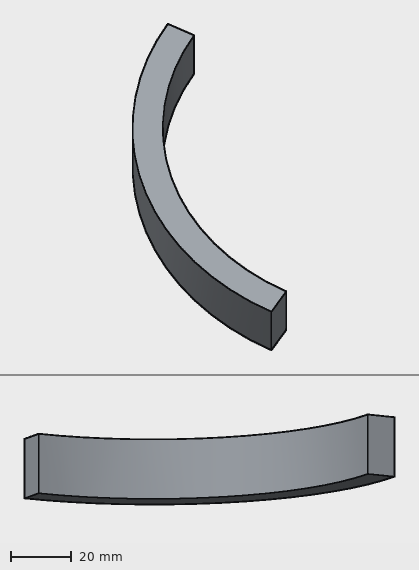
import cadquery as cq

outer_radius = 90.0
height = 20.0
wall_thickness = height / 2
inner_radius = outer_radius - wall_thickness
sweep_angle = 90.0

wall_section = (
    cq.Workplane("XZ")
    .moveTo(-outer_radius, 0)
    .lineTo(-inner_radius, 0)
    .lineTo(-inner_radius, height)
    .lineTo(-outer_radius, height)
    .close()
)
result = wall_section.revolve(sweep_angle, (0, 0), (0, 1))